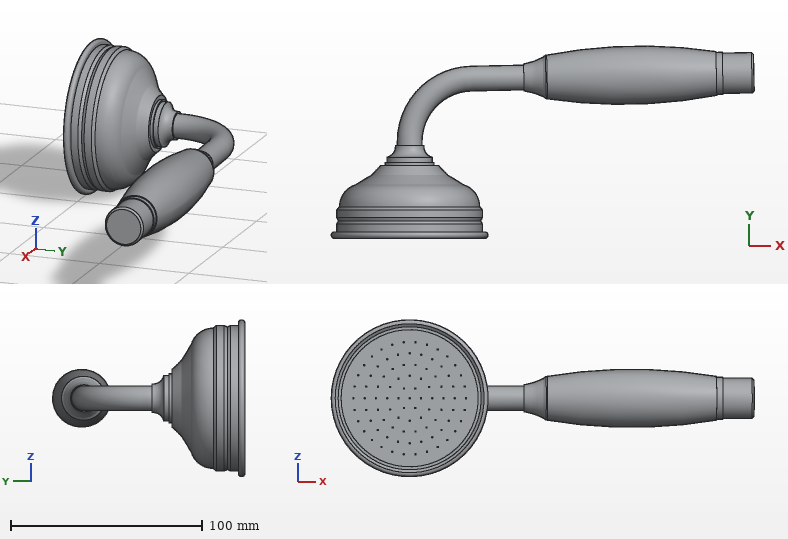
import cadquery as cq
import math


BODY_RADIUS = 76.3 / 2
BEAD_RADIUS = 82.0 / 2
BEAD_WIDTH = 3.5
LIP_RADIUS = 39.0
LIP_DEPTH = 1.3
BORE_RADIUS = 37.4
BORE_DEPTH = 7.0
SHOULDER_RADIUS = 35.8
SPLIT_Y = 9.3
GROOVE_HALF_WIDTH = 1.8
GROOVE_DEPTH = 0.9

PLATE_RADIUS = 36.5
PLATE_THICKNESS = 2.2
NOZZLE_DIAMETER = 0.7
NOZZLE_RINGS = 5
OUTER_NOZZLE_RING_RADIUS = 29.5
NOZZLES_PER_RING_STEP = 6

BAND_END_Y = 15.0
DOME_START_Y = 16.5
DOME_START_RADIUS = 36.7
DOME_MIDDLE = (23.2, 34.7)
DOME_END = (28.0, 28.3)
FLARE_END = (33.2, 20.0)
DOME_BACK_Y = 38.2
DOME_BACK_RADIUS = 15.0

NUT_FLANGE_RADIUS = 12.8
NUT_FLANGE_END_Y = 39.8
NUT_BAND_RADIUS = 12.0
NUT_BAND_END_Y = 42.5
NUT_TOP_RADIUS = 7.5
NUT_LIP_Y = 48.0
NUT_TOP_Y = 48.6

TUBE_RADIUS = 13.0 / 2
BEND_START_Y = 50.6
BEND_RADIUS = 33.0
HANDLE_TILT = 1.2

FERRULE_START = 27.5
FERRULE_START_RADIUS = 7.0
FERRULE_WAIST = 32.0
FERRULE_WAIST_RADIUS = 8.2
FERRULE_FLARE_START = 33.4
FERRULE_FLARE_START_RADIUS = 8.6
FERRULE_FLARE_END = 37.5
FERRULE_FLARE_END_RADIUS = 10.4
FERRULE_BACK = 39.0
GRIP_START = 39.5
GRIP_END = 128.0
GRIP_END_RADIUS = 11.5
GRIP_MIDDLE_RADIUS = 15.3
END_RING_LENGTH = 3.3
END_RING_RADIUS = 11.0
CONNECTOR_RADIUS = 10.5
CONNECTOR_CHAMFER = 1.0
TOTAL_LENGTH = 221.0

tilt = math.radians(HANDLE_TILT)
nozzle_pitch = OUTER_NOZZLE_RING_RADIUS / NOZZLE_RINGS
bend_centre = (BEND_RADIUS, BEND_START_Y)
bend_end = (
    BEND_RADIUS * (1 - math.sin(tilt)),
    BEND_START_Y + BEND_RADIUS * math.cos(tilt),
)
end_ring_end = GRIP_END + END_RING_LENGTH
end_face_radius = CONNECTOR_RADIUS - CONNECTOR_CHAMFER
connector_end_x = TOTAL_LENGTH - BEAD_RADIUS - end_face_radius * math.sin(tilt)
connector_end = (connector_end_x - bend_end[0]) / math.cos(tilt)

head_plane = cq.Plane(origin=(0, 0, 0), xDir=(0, 1, 0), normal=(0, 0, 1))
handle_plane = cq.Plane(
    origin=(bend_end[0], bend_end[1], 0),
    xDir=(math.cos(tilt), math.sin(tilt), 0),
    normal=(0, 0, 1),
)


def spin(outline):
    """Close an (axial, radius) outline and revolve it about the local x axis."""
    return outline.close().revolve(360, (0, 0), (1, 0))


def make_rim_ring():
    bead_half = BEAD_WIDTH / 2
    bead_side_radius = BEAD_RADIUS - bead_half
    outline = (
        cq.Workplane(head_plane)
        .moveTo(0, LIP_RADIUS)
        .lineTo(0, bead_side_radius)
        .threePointArc((bead_half, BEAD_RADIUS), (BEAD_WIDTH, bead_side_radius))
        .lineTo(BEAD_WIDTH, BODY_RADIUS)
        .lineTo(SPLIT_Y - GROOVE_HALF_WIDTH, BODY_RADIUS)
        .lineTo(SPLIT_Y, BODY_RADIUS - GROOVE_DEPTH)
        .lineTo(SPLIT_Y, SHOULDER_RADIUS)
        .lineTo(BORE_DEPTH, SHOULDER_RADIUS)
        .lineTo(BORE_DEPTH, BORE_RADIUS)
        .lineTo(LIP_DEPTH, BORE_RADIUS)
    )
    return spin(outline)


def make_spray_plate():
    """Disc behind the rim shoulder, pierced by a centre nozzle and rings of nozzles."""
    nozzle_places = [(0, 0)]
    for ring in range(1, NOZZLE_RINGS + 1):
        count = NOZZLES_PER_RING_STEP * ring
        for index in range(count):
            angle = 2 * math.pi * index / count
            radius = nozzle_pitch * ring
            nozzle_places.append((radius * math.cos(angle), radius * math.sin(angle)))
    plate_plane = cq.Plane(origin=(0, SPLIT_Y, 0), xDir=(1, 0, 0), normal=(0, -1, 0))
    plate = cq.Workplane(plate_plane).circle(PLATE_RADIUS).extrude(-PLATE_THICKNESS)
    nozzles = (
        cq.Workplane(plate_plane)
        .pushPoints(nozzle_places)
        .circle(NOZZLE_DIAMETER / 2)
        .extrude(-PLATE_THICKNESS)
    )
    return plate.cut(nozzles)


def make_dome():
    """Bell-shaped head body with a recess for the spray plate in its front."""
    plate_back = SPLIT_Y + PLATE_THICKNESS
    outline = (
        cq.Workplane(head_plane)
        .moveTo(plate_back, 0)
        .lineTo(plate_back, PLATE_RADIUS)
        .lineTo(SPLIT_Y, PLATE_RADIUS)
        .lineTo(SPLIT_Y, BODY_RADIUS - GROOVE_DEPTH)
        .lineTo(SPLIT_Y + GROOVE_HALF_WIDTH, BODY_RADIUS)
        .lineTo(BAND_END_Y, BODY_RADIUS)
        .lineTo(DOME_START_Y, DOME_START_RADIUS)
        .threePointArc(DOME_MIDDLE, DOME_END)
        .lineTo(*FLARE_END)
        .lineTo(DOME_BACK_Y, DOME_BACK_RADIUS)
        .lineTo(DOME_BACK_Y, 0)
    )
    return spin(outline)


def make_neck_nut():
    """Stepped nut whose concave flank runs from the tube end down to its band."""
    outline = (
        cq.Workplane(head_plane)
        .moveTo(NUT_TOP_Y, 0)
        .lineTo(NUT_TOP_Y, NUT_TOP_RADIUS)
        .lineTo(NUT_LIP_Y, NUT_TOP_RADIUS)
        .tangentArcPoint((NUT_BAND_END_Y, NUT_BAND_RADIUS), relative=False)
        .lineTo(NUT_FLANGE_END_Y, NUT_BAND_RADIUS)
        .lineTo(NUT_FLANGE_END_Y, NUT_FLANGE_RADIUS)
        .lineTo(DOME_BACK_Y, NUT_FLANGE_RADIUS)
        .lineTo(DOME_BACK_Y, 0)
    )
    return spin(outline)


def make_tube():
    """Round bar from the neck nut, around the bend, to the ferrule."""
    half_angle = (math.pi / 2 - tilt) / 2
    bend_middle = (
        bend_centre[0] - BEND_RADIUS * math.cos(half_angle),
        bend_centre[1] + BEND_RADIUS * math.sin(half_angle),
    )
    straight_end = (
        bend_end[0] + FERRULE_START * math.cos(tilt),
        bend_end[1] + FERRULE_START * math.sin(tilt),
    )
    path = (
        cq.Workplane("XY")
        .moveTo(0, NUT_TOP_Y)
        .lineTo(0, BEND_START_Y)
        .threePointArc(bend_middle, bend_end)
        .lineTo(*straight_end)
    )
    start_plane = cq.Plane(origin=(0, NUT_TOP_Y, 0), xDir=(1, 0, 0), normal=(0, 1, 0))
    return cq.Workplane(start_plane).circle(TUBE_RADIUS).sweep(path)


def make_ferrule():
    outline = (
        cq.Workplane(handle_plane)
        .moveTo(FERRULE_START, 0)
        .lineTo(FERRULE_START, FERRULE_START_RADIUS)
        .lineTo(FERRULE_WAIST, FERRULE_WAIST_RADIUS)
        .lineTo(FERRULE_FLARE_START, FERRULE_FLARE_START_RADIUS)
        .lineTo(FERRULE_FLARE_END, FERRULE_FLARE_END_RADIUS)
        .lineTo(FERRULE_BACK, GRIP_END_RADIUS)
        .lineTo(GRIP_START, GRIP_END_RADIUS)
        .lineTo(GRIP_START, 0)
    )
    return spin(outline)


def make_grip():
    """Barrel-shaped grip, thickest at the middle of its length."""
    grip_middle = (GRIP_START + GRIP_END) / 2
    outline = (
        cq.Workplane(handle_plane)
        .moveTo(GRIP_START, 0)
        .lineTo(GRIP_START, GRIP_END_RADIUS)
        .threePointArc((grip_middle, GRIP_MIDDLE_RADIUS), (GRIP_END, GRIP_END_RADIUS))
        .lineTo(GRIP_END, 0)
    )
    return spin(outline)


def make_end_ring():
    outline = (
        cq.Workplane(handle_plane)
        .moveTo(GRIP_END, 0)
        .lineTo(GRIP_END, END_RING_RADIUS)
        .lineTo(end_ring_end, END_RING_RADIUS)
        .lineTo(end_ring_end, 0)
    )
    return spin(outline)


def make_connector():
    outline = (
        cq.Workplane(handle_plane)
        .moveTo(end_ring_end, 0)
        .lineTo(end_ring_end, CONNECTOR_RADIUS)
        .lineTo(connector_end - CONNECTOR_CHAMFER, CONNECTOR_RADIUS)
        .lineTo(connector_end, end_face_radius)
        .lineTo(connector_end, 0)
    )
    return spin(outline)


rim_ring = make_rim_ring()
spray_plate = make_spray_plate()
dome = make_dome()
neck_nut = make_neck_nut()
tube = make_tube()
ferrule = make_ferrule()
grip = make_grip()
end_ring = make_end_ring()
connector = make_connector()

result = cq.Compound.makeCompound([
    rim_ring.val(),
    spray_plate.val(),
    dome.val(),
    neck_nut.val(),
    tube.val(),
    ferrule.val(),
    grip.val(),
    end_ring.val(),
    connector.val(),
])